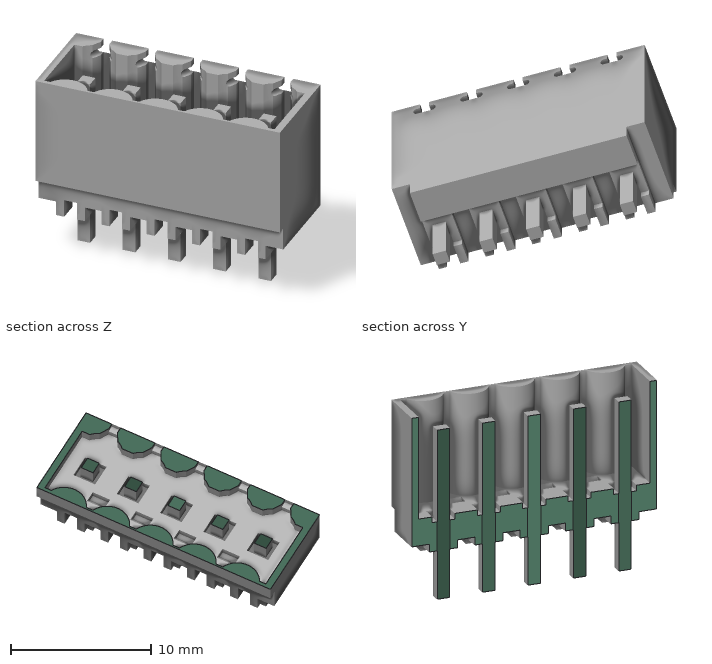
import cadquery as cq
import math


LENGTH = 18.9
WIDTH = 7.45
BODY_HEIGHT = 9.92
STEP_DEPTH = 0.6
STEP_HEIGHT = 1.72

PIN_COUNT = 5
PITCH = 3.5
PIN_SIZE = 0.98
PIN_TOP_DROP = 1.21
PIN_REACH = 4.33
PIN_TO_BACK = 3.93
PIN_Y = WIDTH - PIN_TO_BACK

FOOT_HEIGHT = 1.12
FOOT_WIDTH = 2.21
BACK_STRIP = 2.59
FRONT_LEG = 1.55
NOTCH_HEIGHT = 0.51
SLOT_RISE = 0.25

FLOOR_RISE = 0.38
FLOOR_Z = STEP_HEIGHT + FLOOR_RISE
END_WALL = 0.55
FRONT_WALL = 0.3
VALLEY_WALL = 0.17
BACK_WALL = 1.59
SCALLOP_RADIUS = 1.63
SCALLOP_HEIGHT = 1.15

BAY_WALL = 0.5
BAY_RADIUS = 1.74
BAY_AXIS = 2.74
SLIT_WIDTH = 0.68
FACET_HALF_WIDTH = 0.72

GROOVE_FLAT_WIDTH = 1.29
GROOVE_BULGE = 0.19
GROOVE_TOP = 0.5
GROOVE_HEIGHT = 0.6
CHASE_SKIN = 0.02
CHASE_LEDGE = 0.38
CHASE_FLOOR_Z = FLOOR_Z + CHASE_LEDGE

COLLAR_SIZE = 1.74
POCKET_DEPTH = 0.43
LATCH_WIDTH = 1.4
LATCH_FLAT = 0.43
LATCH_FRONT_Y = 1.1

PIN_XS = [PITCH * (i - (PIN_COUNT - 1) / 2) for i in range(PIN_COUNT)]
GAP_XS = [x + PITCH / 2 for x in PIN_XS[:-1]]


def block(x_middle, x_size, y_range, z_range):
    """Box centred on x_middle and spanning the given Y and Z ranges."""
    (y0, y1), (z0, z1) = y_range, z_range
    corner = cq.Vector(x_middle - x_size / 2, y0, z0)
    return cq.Workplane(cq.Solid.makeBox(x_size, y1 - y0, z1 - z0, corner))


def square_bar(x, size, z0, z1):
    """Square upright bar on the axis of a pin."""
    return block(x, size, (PIN_Y - size / 2, PIN_Y + size / 2), (z0, z1))


def pin(x):
    return square_bar(x, PIN_SIZE, -PIN_REACH, BODY_HEIGHT - PIN_TOP_DROP)


def body_block():
    """Solid body with the lower front face set back."""
    body = block(0, LENGTH, (0, WIDTH), (0, BODY_HEIGHT))
    return body.cut(block(0, LENGTH, (0, STEP_DEPTH), (0, STEP_HEIGHT)))


def feet():
    """Continuous back strip with one front foot for each pin, joined above the notch."""
    span = PIN_XS[-1] - PIN_XS[0] + FOOT_WIDTH
    back_y = WIDTH - BACK_STRIP
    base = block(0, span, (back_y, WIDTH), (-FOOT_HEIGHT, 0))
    for x in PIN_XS:
        base = base.union(block(x, FOOT_WIDTH, (STEP_DEPTH, back_y), (-FOOT_HEIGHT, 0)))
    notch_z = -FOOT_HEIGHT + NOTCH_HEIGHT
    return base.cut(block(0, span, (STEP_DEPTH + FRONT_LEG, back_y), (-FOOT_HEIGHT, notch_z)))


def bay(x):
    """Widening recess in the back wall: slit end, slanted sides, then curved sides."""
    axis_y = WIDTH - BAY_AXIS
    slit_y = WIDTH - BAY_WALL
    mouth_y = WIDTH - BACK_WALL
    facet_y = axis_y + math.sqrt(BAY_RADIUS**2 - FACET_HALF_WIDTH**2)
    mouth_half = math.sqrt(BAY_RADIUS**2 - (mouth_y - axis_y) ** 2)
    middle_angle = (
        math.atan2(facet_y - axis_y, FACET_HALF_WIDTH) + math.atan2(mouth_y - axis_y, mouth_half)
    ) / 2
    arc_x = BAY_RADIUS * math.cos(middle_angle)
    arc_y = axis_y + BAY_RADIUS * math.sin(middle_angle)
    return (
        cq.Workplane("XY", origin=(x, 0, FLOOR_Z))
        .moveTo(-SLIT_WIDTH / 2, slit_y)
        .lineTo(SLIT_WIDTH / 2, slit_y)
        .lineTo(FACET_HALF_WIDTH, facet_y)
        .threePointArc((arc_x, arc_y), (mouth_half, mouth_y))
        .lineTo(-mouth_half, mouth_y)
        .threePointArc((-arc_x, arc_y), (-FACET_HALF_WIDTH, facet_y))
        .close()
        .extrude(BODY_HEIGHT - FLOOR_Z)
    )


def scallop(x):
    """Round pilaster on the inside of the front wall."""
    depth = BODY_HEIGHT - FLOOR_Z
    centre = (x, SCALLOP_HEIGHT - SCALLOP_RADIUS)
    return cq.Workplane("XY", origin=(0, 0, FLOOR_Z)).center(*centre).circle(SCALLOP_RADIUS).extrude(depth)


def cavity():
    """Space for the plug, open at the top."""
    z_range = (FLOOR_Z, BODY_HEIGHT)
    space = block(0, LENGTH - 2 * END_WALL, (FRONT_WALL, WIDTH - BACK_WALL), z_range)
    space = space.union(block(0, PIN_XS[-1] - PIN_XS[0], (VALLEY_WALL, FRONT_WALL), z_range))
    for x in PIN_XS:
        space = space.cut(scallop(x)).union(bay(x))
    return space


def keying_opening(x):
    """Open slit from the rim, round-ended cross groove, and closed chase below it."""
    groove_z = BODY_HEIGHT - GROOVE_TOP - GROOVE_HEIGHT / 2
    slit_y = WIDTH - BAY_WALL
    end_x = GROOVE_FLAT_WIDTH / 2
    end_z = GROOVE_HEIGHT / 2
    groove = (
        cq.Workplane("XZ", origin=(x, WIDTH, groove_z))
        .moveTo(-end_x, -end_z)
        .lineTo(end_x, -end_z)
        .threePointArc((end_x + GROOVE_BULGE, 0), (end_x, end_z))
        .lineTo(-end_x, end_z)
        .threePointArc((-end_x - GROOVE_BULGE, 0), (-end_x, -end_z))
        .close()
        .extrude(BACK_WALL)
    )
    slit = block(x, SLIT_WIDTH, (slit_y, WIDTH), (groove_z, BODY_HEIGHT))
    chase = block(x, SLIT_WIDTH, (slit_y, WIDTH - CHASE_SKIN), (CHASE_FLOOR_Z, groove_z))
    return groove.union(slit).union(chase)


def latch_pocket(x):
    """Floor pocket whose front half rises to the floor at 45 degrees."""
    flat_y = LATCH_FRONT_Y + POCKET_DEPTH
    back_y = flat_y + LATCH_FLAT
    bottom_z = FLOOR_Z - POCKET_DEPTH
    outline = [(LATCH_FRONT_Y, FLOOR_Z), (flat_y, bottom_z), (back_y, bottom_z), (back_y, FLOOR_Z)]
    start = (x - LATCH_WIDTH / 2, 0, 0)
    return cq.Workplane("YZ", origin=start).polyline(outline).close().extrude(LATCH_WIDTH)


def pin_slot(x):
    """Slot from the front of a foot to the front of its pin."""
    return block(x, PIN_SIZE, (STEP_DEPTH, PIN_Y - PIN_SIZE / 2), (-FOOT_HEIGHT, SLOT_RISE))


def make_housing():
    shell = body_block().union(feet()).cut(cavity())
    for x in PIN_XS:
        shell = shell.cut(keying_opening(x))
        shell = shell.cut(square_bar(x, COLLAR_SIZE, FLOOR_Z - POCKET_DEPTH, FLOOR_Z))
        shell = shell.cut(pin_slot(x)).cut(pin(x))
    for x in GAP_XS:
        shell = shell.cut(latch_pocket(x))
    return shell


housing = make_housing()
pins = [pin(x) for x in PIN_XS]

result = cq.Compound.makeCompound([housing.solids().val(), *[p.val() for p in pins]])